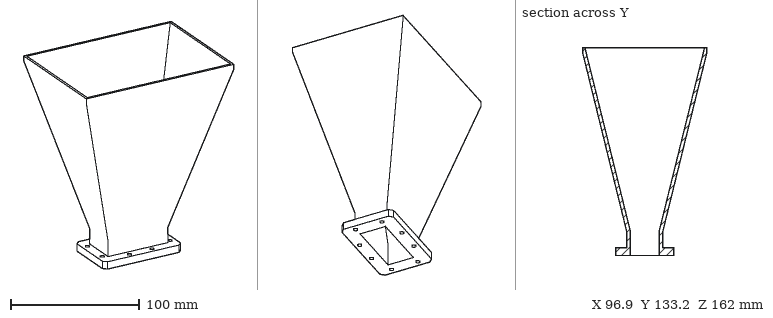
import cadquery as cq

height = 162.0
mouth_x = 96.9
mouth_y = 133.2
rim_height = 4.0
rim_wall = 2.0

bore_x = 22.2
bore_y = 47.6
neck_wall = 3.0
neck_top = 19.0

flange_x = 45.4
flange_y = 70.6
flange_thickness = 6.3
corner_chamfer = 3.0

hole_diameter = 3.2
side_row_x = 18.5
side_hole_y = 10.2
end_row_y = 30.6
end_hole_x = 11.5


def box_section(size_x, size_y, bottom, top):
    """Straight rectangular prism between two heights."""
    return cq.Workplane("XY", origin=(0, 0, bottom)).rect(size_x, size_y).extrude(top - bottom)


def taper(bottom_x, bottom_y, top_x, top_y, top):
    """Rectangular funnel rising from the top of the neck."""
    return (
        cq.Workplane("XY", origin=(0, 0, neck_top))
        .rect(bottom_x, bottom_y)
        .workplane(offset=top - neck_top)
        .rect(top_x, top_y)
        .loft(ruled=True)
    )


def outer_body():
    """Solid neck, tapered horn and straight rim."""
    neck_x = bore_x + 2 * neck_wall
    neck_y = bore_y + 2 * neck_wall
    rim_bottom = height - rim_height
    neck = box_section(neck_x, neck_y, 0, neck_top)
    horn = taper(neck_x, neck_y, mouth_x, mouth_y, rim_bottom)
    rim = box_section(mouth_x, mouth_y, rim_bottom, height)
    return neck.union(horn).union(rim)


def inner_passage():
    """Straight bore through the neck, then a taper all the way to the mouth."""
    bore = box_section(bore_x, bore_y, 0, neck_top)
    flare = taper(bore_x, bore_y, mouth_x - 2 * rim_wall, mouth_y - 2 * rim_wall, height)
    return bore.union(flare)


def mounting_flange():
    """Chamfered plate with eight through holes around the neck."""
    hole_centres = []
    for x_side in (-1, 1):
        for y_side in (-1, 1):
            hole_centres.append((x_side * side_row_x, y_side * side_hole_y))
            hole_centres.append((x_side * end_hole_x, y_side * end_row_y))
    return (
        cq.Workplane("XY")
        .rect(flange_x, flange_y)
        .extrude(flange_thickness)
        .edges("|Z")
        .chamfer(corner_chamfer)
        .faces(">Z")
        .workplane()
        .pushPoints(hole_centres)
        .hole(hole_diameter)
    )


result = outer_body().union(mounting_flange()).cut(inner_passage())